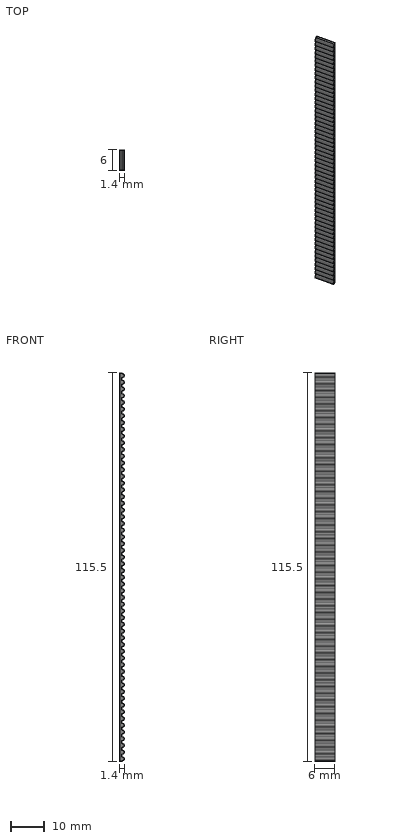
import cadquery as cq
import math

length = 115.5
width = 6.0
thickness = 1.4
tooth_height = 0.75
tooth_count = 58

tip_radius = 0.55
flank_radius = 1.0
root_fillet = 0.15

web = thickness - tooth_height
tip_center_x = thickness - tip_radius

tip_rise = tip_center_x - web
center_gap = flank_radius - tip_radius
flank_offset = math.sqrt(center_gap**2 - tip_rise**2)
tip_end_x = web + flank_radius * tip_rise / center_gap
tip_end_half = flank_radius * flank_offset / center_gap - flank_offset

fillet_reach = math.sqrt((flank_radius + root_fillet) ** 2 - root_fillet**2)
root_half = fillet_reach - flank_offset
flank_share = flank_radius / (flank_radius + root_fillet)
flank_start_x = web + root_fillet * flank_share
flank_start_half = fillet_reach * flank_share - flank_offset

first_tooth_z = length / 2 - root_half
pitch = 2 * first_tooth_z / (tooth_count - 1)


def add_tooth(outline, center_z):
    """Continue the outline downwards around one tooth, from its upper root fillet to its lower one."""
    return (
        outline.radiusArc((flank_start_x, center_z + flank_start_half), -root_fillet)
        .radiusArc((tip_end_x, center_z + tip_end_half), flank_radius)
        .threePointArc((thickness, center_z), (tip_end_x, center_z - tip_end_half))
        .radiusArc((flank_start_x, center_z - flank_start_half), flank_radius)
        .radiusArc((web, center_z - root_half), -root_fillet)
    )


outline = cq.Workplane("XZ").moveTo(0, -length / 2).lineTo(0, length / 2)
for i in range(tooth_count):
    center_z = first_tooth_z - i * pitch
    outline = outline.lineTo(web, center_z + root_half)
    outline = add_tooth(outline, center_z)
outline = outline.close()

result = outline.extrude(width / 2, both=True)